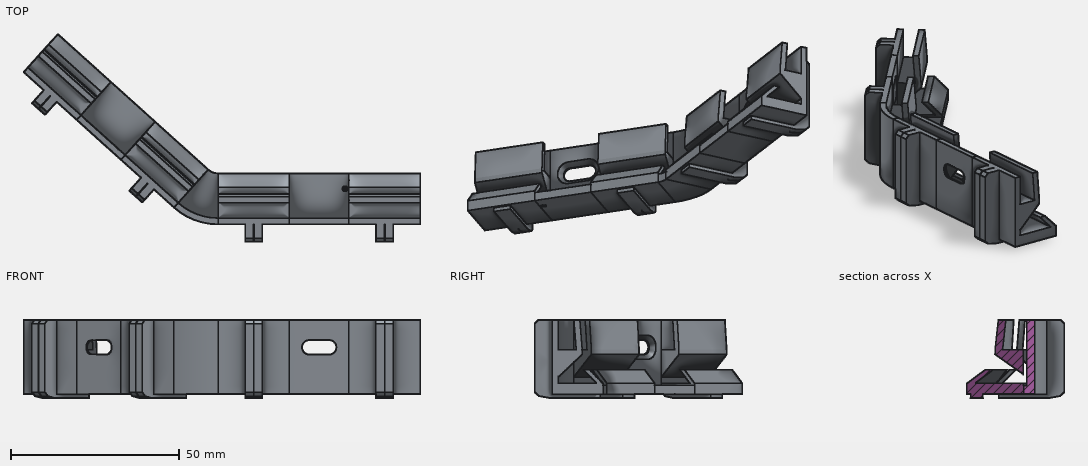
import cadquery as cq
import math

overall_length = 117.8
bend_angle = 42.0
clip_length = 21.2
label_length = 17.7
arm_length = 2 * clip_length + label_length
bend_sin = math.sin(math.radians(bend_angle))
bend_cos = math.cos(math.radians(bend_angle))
bend_radius = (overall_length - arm_length * (1 + bend_cos)) / bend_sin

wall_height = 22.0
wall_thickness = 1.9
block_depth = 15.2
floor_thickness = 2.6

hook_floor_height = 13.2
hook_thickness = 1.8
hook_top_depth = 6.5
hook_base_depth = 7.2
hook_bulge_height = 11.8
channel_floor_height = 3.3
channel_wall_height = 5.1
lip_height = 7.3
lip_back_height = 3.2
lip_thickness = 1.9
lip_top_depth = block_depth - (lip_height - lip_back_height)

rib_width = 5.2
rib_reach = 5.2
rib_drop = 1.2
rib_end_depth = 14.4
rib_top_chamfer = 1.1
rib_toe_rise = 1.8
rib_toe_length = 1.3
rib_toe_drop = 0.6
rib_sole_start = -0.7
rib_slit_width = 0.06

slot_length = 10.1
slot_width = 4.2
slot_height = 13.9
slot_land = 0.5
slot_flare_angle = 45.0

dot_diameter = 0.7
dot_hole_diameter = 1.4
dot_x = 37.7
dot_depth = 10.6


def extruded_section(points, start, length):
    """Extrude a section of (depth behind the wall face, height) points along +X."""
    section = [(depth - bend_radius, height) for depth, height in points]
    return cq.Workplane("YZ").workplane(offset=start).polyline(section).close().extrude(length)


def floor_and_wall_points():
    return [
        (0, 0),
        (block_depth, 0),
        (block_depth, floor_thickness),
        (wall_thickness, floor_thickness),
        (wall_thickness, wall_height),
        (0, wall_height),
    ]


def make_rib(clip_start):
    side = [
        (wall_thickness, wall_height),
        (rib_top_chamfer - rib_reach, wall_height),
        (-rib_reach, wall_height - rib_top_chamfer),
        (-rib_reach, rib_toe_rise - rib_drop),
        (rib_toe_length - rib_reach, rib_toe_drop - rib_drop),
        (rib_sole_start, -rib_drop),
        (rib_end_depth, -rib_drop),
        (rib_end_depth, 0),
        (wall_thickness, 0),
    ]
    middle = clip_start + clip_length / 2
    rib = extruded_section(side, middle - rib_width / 2, rib_width)
    slit = cq.Workplane("XY").box(rib_slit_width, rib_reach, wall_height + rib_drop, centered=(True, False, False))
    return rib.cut(slit.translate((middle, -bend_radius - rib_reach, -rib_drop)))


def make_clip(start):
    profile = [
        (0, 0),
        (block_depth, 0),
        (block_depth, lip_back_height),
        (lip_top_depth, lip_height),
        (lip_top_depth - lip_thickness, lip_height),
        (lip_top_depth - lip_thickness + lip_height - channel_floor_height, channel_floor_height),
        (wall_thickness, channel_floor_height),
        (wall_thickness, channel_wall_height),
        (hook_base_depth + hook_thickness, hook_bulge_height),
        (hook_base_depth + hook_thickness, hook_floor_height),
        (hook_top_depth + hook_thickness, wall_height),
        (hook_top_depth, wall_height),
        (hook_base_depth, hook_floor_height),
        (wall_thickness, hook_floor_height),
        (wall_thickness, wall_height),
        (0, wall_height),
    ]
    return extruded_section(profile, start, clip_length).union(make_rib(start))


def make_label_block(start):
    block = extruded_section(floor_and_wall_points(), start, label_length)
    slot_center = (start + label_length / 2, -bend_radius, slot_height)
    land = cq.Workplane("XZ", origin=slot_center).slot2D(slot_length, slot_width).extrude(-slot_land)
    flare = (
        cq.Workplane("XZ", origin=slot_center)
        .workplane(offset=-slot_land)
        .slot2D(slot_length, slot_width)
        .extrude(slot_land - wall_thickness, taper=-slot_flare_angle)
    )
    return block.cut(land).cut(flare)


def make_corner():
    section = [(depth - bend_radius, height) for depth, height in floor_and_wall_points()]
    return cq.Workplane("YZ").polyline(section).close().revolve(bend_angle, (0, 0), (0, -1))


def upright_cylinder(diameter):
    base = cq.Workplane("XY", origin=(dot_x, dot_depth - bend_radius, 0))
    return base.circle(diameter / 2).extrude(floor_thickness)


def swing_to_left_arm(body):
    return body.rotate((0, 0, 0), (0, 0, 1), -bend_angle)


corner = make_corner()

clips = []
for offset in (0, clip_length + label_length):
    clips.append(make_clip(offset))
    clips.append(swing_to_left_arm(make_clip(-offset - clip_length)))

right_label_block = make_label_block(clip_length).cut(upright_cylinder(dot_hole_diameter))
left_label_block = swing_to_left_arm(make_label_block(-clip_length - label_length))

dot = upright_cylinder(dot_diameter)

result = cq.Compound.makeCompound(
    [
        corner.val(),
        *[clip.val() for clip in clips],
        right_label_block.val(),
        left_label_block.val(),
        dot.val(),
    ]
)